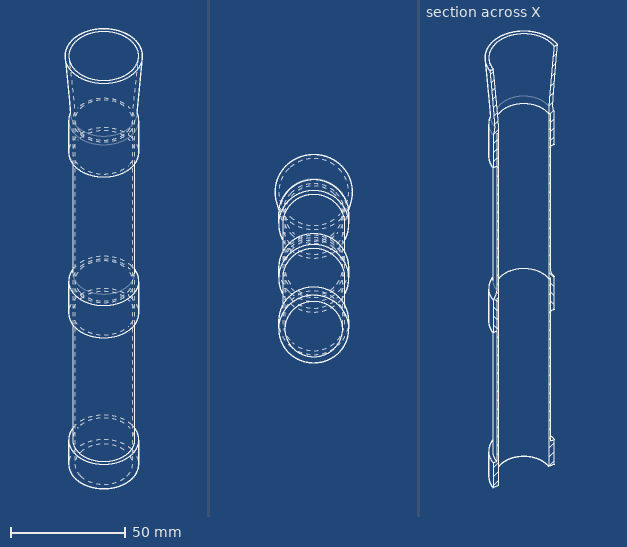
import cadquery as cq
import math

length = 253.0
pipe_radius = 27.0 / 2
bore_radius = 25.0 / 2
collar_radius = 30.5 / 2

foot_height = 15.2
socket_depth = 20.0
middle_base = 93.5
funnel_base = 193.3
shoulder_height = 5.3

neck_height = 4.5
neck_radius = 29.0 / 2
mouth_radius = 34.0 / 2
mouth_bore_radius = 15.2


def flare_midpoint(inner_radius, outer_radius, base, height):
    """Middle of a concave arc that leaves the upper, narrower wall tangentially."""
    step = outer_radius - inner_radius
    arc_radius = (height**2 + step**2) / (2 * step)
    half_angle = math.asin(height / arc_radius) / 2
    radius = inner_radius + arc_radius * (1 - math.cos(half_angle))
    return radius, base + height - arc_radius * math.sin(half_angle)


def socket_profile(base, upper_radius, flare_height):
    """Half section of a socket, left open at the top of its flare."""
    socket_top = base + socket_depth
    return (
        cq.Workplane("XZ")
        .moveTo(bore_radius, socket_top)
        .lineTo(pipe_radius, socket_top)
        .lineTo(pipe_radius, base)
        .lineTo(collar_radius, base)
        .lineTo(collar_radius, socket_top)
        .threePointArc(
            flare_midpoint(upper_radius, collar_radius, socket_top, flare_height),
            (upper_radius, socket_top + flare_height),
        )
    )


def revolve_profile(profile):
    return profile.close().revolve(360, (0, 0, 0), (0, 1, 0))


def make_lower_tube():
    """Straight pipe with a foot collar, ending inside the middle tube's socket."""
    top = middle_base + socket_depth
    return revolve_profile(
        cq.Workplane("XZ")
        .moveTo(bore_radius, 0)
        .lineTo(collar_radius, 0)
        .lineTo(collar_radius, foot_height)
        .lineTo(pipe_radius, foot_height)
        .lineTo(pipe_radius, top)
        .lineTo(bore_radius, top)
    )


def make_middle_tube():
    """Pipe with a socket at its base, ending inside the funnel's socket."""
    top = funnel_base + socket_depth
    return revolve_profile(
        socket_profile(middle_base, pipe_radius, shoulder_height)
        .lineTo(pipe_radius, top)
        .lineTo(bore_radius, top)
    )


def make_funnel():
    """Socket that opens upward into a conical mouth."""
    neck_top = funnel_base + socket_depth + neck_height
    return revolve_profile(
        socket_profile(funnel_base, neck_radius, neck_height)
        .lineTo(mouth_radius, length)
        .lineTo(mouth_bore_radius, length)
        .lineTo(bore_radius, neck_top)
    )


lower_tube = make_lower_tube()
middle_tube = make_middle_tube()
funnel = make_funnel()

result = cq.Compound.makeCompound([lower_tube.val(), middle_tube.val(), funnel.val()])